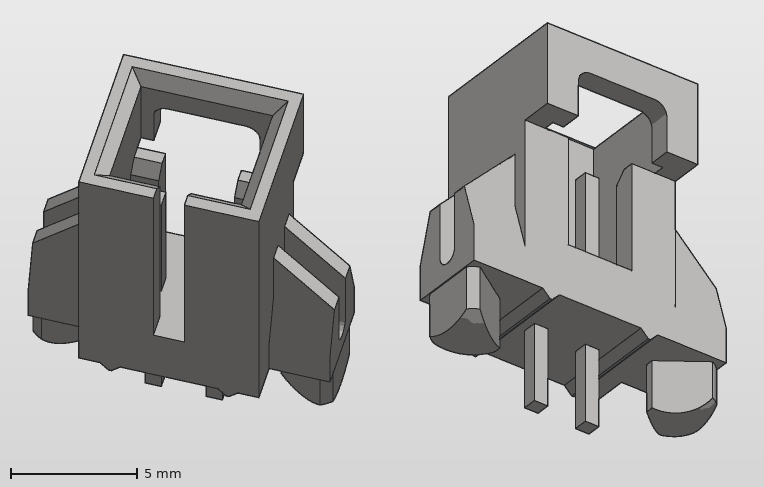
import cadquery as cq
import math


SHELL_WIDTH = 7.4
SHELL_DEPTH = 6.6
SHELL_HEIGHT = 11.45
WALL = 1.0
RIM_CHAMFER = WALL / 2
FLOOR_HEIGHT = 2.55
BASE_DEPTH = 5.1
OVERHANG_HEIGHT = 3.82

FRONT_SLOT_WIDTH = 1.27
WINDOW_WIDTH = 4.35
WINDOW_TOP_DROP = 1.57
WINDOW_RADIUS = 0.6

RIB_WIDTH = 1.15
RIB_DEPTH = 1.01
RIB_CHAMFER = RIB_DEPTH / 2

RIDGE_OFFSET = 2.42
RIDGE_HEIGHT = 0.36
RIDGE_TIP_WIDTH = 0.1

PIN_SIZE = 0.66
PIN_PITCH = 2.51
PIN_Y = 2.54
PIN_TAIL = 3.65
PIN_RISE = 5.59

OVERALL_WIDTH = 12.4
WING_LENGTH = (OVERALL_WIDTH - SHELL_WIDTH) / 2
WING_DEPTH = 3.6
WING_TOP_DEPTH = 2.28
WING_Y = BASE_DEPTH - WING_DEPTH / 2
WING_STRAIGHT_HEIGHT = 1.66
WING_SHOULDER_HEIGHT = 3.87
WING_HEIGHT = WING_SHOULDER_HEIGHT + WING_LENGTH
WING_SLOT_WIDTH = 0.97
WING_SLOT_FLOOR = 0.8

POST_X = (SHELL_WIDTH + WING_LENGTH) / 2
POST_RADIUS = 1.72
POST_WIDTH = 2.42
POST_LENGTH = 2.65
POST_FLAT_ANGLE = 34.5
POST_FLAT_DISTANCE = 0.83
LEFT_DOME_HEIGHT = 0.94
RIGHT_DOME_HEIGHT = 0.65


def block(x_range, y_range, z_range):
    """Box between the given limits on each axis."""
    spans = [high - low for low, high in (x_range, y_range, z_range)]
    corner = (x_range[0], y_range[0], z_range[0])
    return cq.Workplane("XY").box(*spans, centered=False).translate(corner)


def centred(width, middle=0.0):
    """Limits of a span of the given width about a middle."""
    return (middle - width / 2, middle + width / 2)


def make_shell():
    overhang_bottom = SHELL_HEIGHT - OVERHANG_HEIGHT
    base = block(centred(SHELL_WIDTH), (0, BASE_DEPTH), (0, SHELL_HEIGHT))
    overhang = block(centred(SHELL_WIDTH), (0, SHELL_DEPTH), (overhang_bottom, SHELL_HEIGHT))
    return base.union(overhang)


def make_cavity():
    """Cavity with a flared mouth; below the overhang it opens through the rear."""
    width = SHELL_WIDTH - 2 * WALL
    cavity = block(centred(width), (WALL, SHELL_DEPTH - WALL), (FLOOR_HEIGHT, SHELL_HEIGHT))
    mouth = (
        cq.Workplane("XY", origin=(0, SHELL_DEPTH / 2, SHELL_HEIGHT))
        .rect(width + 2 * RIM_CHAMFER, SHELL_DEPTH - 2 * WALL + 2 * RIM_CHAMFER)
        .workplane(offset=-RIM_CHAMFER)
        .rect(width, SHELL_DEPTH - 2 * WALL)
        .loft(ruled=True)
    )
    return cavity.union(mouth)


def make_front_slot():
    return block(centred(FRONT_SLOT_WIDTH), (0, WALL), (FLOOR_HEIGHT, SHELL_HEIGHT))


def make_rear_window():
    """Notch in the rear wall, open downwards, with rounded upper corners."""
    window = block(
        centred(WINDOW_WIDTH),
        (SHELL_DEPTH - WALL, SHELL_DEPTH),
        (SHELL_HEIGHT - OVERHANG_HEIGHT, SHELL_HEIGHT - WINDOW_TOP_DROP),
    )
    return window.edges("|Y and >Z").fillet(WINDOW_RADIUS)


def make_rib(side):
    """Corner rib from the floor up to the overhang, its front top edge chamfered."""
    outer = SHELL_WIDTH / 2 - WALL / 2
    inner = SHELL_WIDTH / 2 - WALL - RIB_WIDTH
    rib = block(
        sorted((side * inner, side * outer)),
        (BASE_DEPTH - RIB_DEPTH, BASE_DEPTH),
        (FLOOR_HEIGHT, SHELL_HEIGHT - OVERHANG_HEIGHT),
    )
    return rib.edges("<Y and >Z").chamfer(RIB_CHAMFER)


def make_ridge(side):
    """V-shaped ridge with 45 degree flanks along the underside."""
    half_tip = RIDGE_TIP_WIDTH / 2
    half_root = half_tip + RIDGE_HEIGHT
    profile = [(-half_root, 0), (half_root, 0), (half_tip, -RIDGE_HEIGHT), (-half_tip, -RIDGE_HEIGHT)]
    ridge = cq.Workplane("XZ").polyline(profile).close().extrude(-BASE_DEPTH)
    return ridge.translate((side * RIDGE_OFFSET, 0, 0))


def make_pin(side):
    return block(
        centred(PIN_SIZE, side * PIN_PITCH / 2),
        centred(PIN_SIZE, PIN_Y),
        (-PIN_TAIL, FLOOR_HEIGHT + PIN_RISE),
    )


def make_wing(side):
    """Tapered wing with a 45 degree sloping top, split by a round-bottomed slot."""
    shell_x = side * SHELL_WIDTH / 2
    end_x = side * OVERALL_WIDTH / 2
    half = WING_DEPTH / 2
    half_top = WING_TOP_DEPTH / 2
    end_profile = [
        (-half, 0),
        (-half, WING_STRAIGHT_HEIGHT),
        (-half_top, WING_SHOULDER_HEIGHT),
        (-half_top, WING_HEIGHT),
        (half_top, WING_HEIGHT),
        (half_top, WING_SHOULDER_HEIGHT),
        (half, WING_STRAIGHT_HEIGHT),
        (half, 0),
    ]
    side_profile = [(shell_x, 0), (end_x, 0), (end_x, WING_SHOULDER_HEIGHT), (shell_x, WING_HEIGHT)]
    wing_plane = cq.Workplane("YZ", origin=(shell_x, WING_Y, 0))
    wing = wing_plane.polyline(end_profile).close().extrude(side * WING_LENGTH)
    slope = cq.Workplane("XZ").polyline(side_profile).close().extrude(-SHELL_DEPTH)

    slot_radius = WING_SLOT_WIDTH / 2
    slot = (
        wing_plane.moveTo(-slot_radius, WING_HEIGHT)
        .lineTo(-slot_radius, WING_SLOT_FLOOR + slot_radius)
        .threePointArc((0, WING_SLOT_FLOOR), (slot_radius, WING_SLOT_FLOOR + slot_radius))
        .lineTo(slot_radius, WING_HEIGHT)
        .close()
        .extrude(side * WING_LENGTH)
    )
    return wing.intersect(slope).cut(slot)


def make_post(side, dome_height):
    """Domed round post trimmed by two X flats and two flats converging towards the shell."""
    dome_radius = (POST_RADIUS**2 + dome_height**2) / (2 * dome_height)
    mid_radius = POST_RADIUS / 2
    mid_rise = dome_radius - math.sqrt(dome_radius**2 - mid_radius**2)
    post = (
        cq.Workplane("XZ")
        .lineTo(POST_RADIUS, 0)
        .lineTo(POST_RADIUS, dome_height - POST_LENGTH)
        .threePointArc((mid_radius, mid_rise - POST_LENGTH), (0, -POST_LENGTH))
        .close()
        .revolve(360, (0, 0), (0, 1))
    )

    half_width = POST_WIDTH / 2
    angle = math.radians(POST_FLAT_ANGLE)

    def flat_y(x):
        return (POST_FLAT_DISTANCE - x * math.sin(angle)) / math.cos(angle)

    trim_section = [
        (-half_width, -flat_y(-half_width)),
        (half_width, -flat_y(half_width)),
        (half_width, flat_y(half_width)),
        (-half_width, flat_y(-half_width)),
    ]
    trim = cq.Workplane("XY").polyline(trim_section).close().extrude(-POST_LENGTH)
    post = post.intersect(trim)
    if side > 0:
        post = post.mirror("YZ")
    return post.translate((side * POST_X, WING_Y, 0))


result = make_shell().cut(make_cavity()).cut(make_front_slot()).cut(make_rear_window())
for side, dome_height in ((-1, LEFT_DOME_HEIGHT), (1, RIGHT_DOME_HEIGHT)):
    result = (
        result.union(make_rib(side))
        .union(make_ridge(side))
        .union(make_pin(side))
        .union(make_wing(side))
        .union(make_post(side, dome_height))
    )